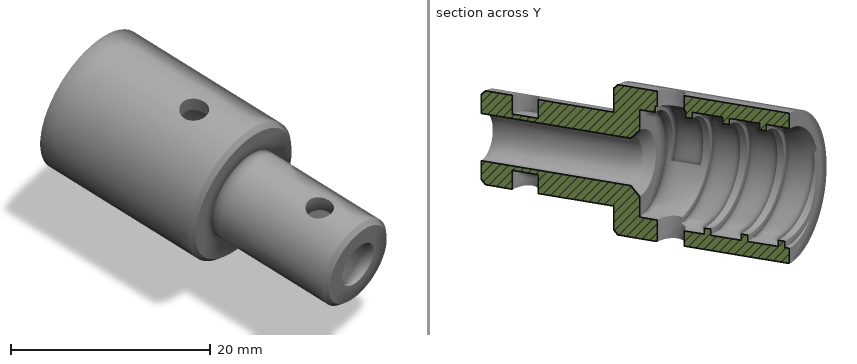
import cadquery as cq

total_length = 35.0
head_length = 20.0
head_radius = 7.998
shank_radius = 5.0
edge_chamfer = 0.5

socket_radius = 5.67
socket_depth = 17.0
through_radius = 2.5
countersink_radius = 3.5
countersink_depth = countersink_radius - through_radius

thread_pitch = 4.2
groove_floor_radius = 6.35
ridge_face_angle = 65.0
groove_start_angle = 158.0
thread_length = 16.45
groove_width = thread_pitch * (1 - ridge_face_angle / 360)
groove_overlap = 0.28

pin_hole_x = 13.5
pin_hole_diameter = 3.0
shank_hole_x = 30.0
shank_hole_diameter = 2.87
shank_hole_depth = 2.0


def cylinder_along_x(radius, start, length):
    return cq.Workplane("YZ", origin=(start, 0, 0)).circle(radius).extrude(length)


def make_body():
    head = cylinder_along_x(head_radius, 0, head_length).faces(">X").chamfer(edge_chamfer)
    shank_length = total_length - head_length
    shank = cylinder_along_x(shank_radius, head_length, shank_length).faces(">X").chamfer(edge_chamfer)
    return head.union(shank)


def make_bore():
    socket = cylinder_along_x(socket_radius, 0, socket_depth)
    passage = cylinder_along_x(through_radius, 0, total_length)
    countersink = cq.Workplane("XY").add(
        cq.Solid.makeCone(
            countersink_radius,
            through_radius,
            countersink_depth,
            pnt=cq.Vector(socket_depth, 0, 0),
            dir=cq.Vector(1, 0, 0),
        )
    )
    return socket.union(passage).union(countersink)


def make_thread_groove():
    """Rectangular groove swept along a helix, starting one pitch outside the head face."""
    inner_radius = socket_radius - groove_overlap
    helix_length = thread_length + thread_pitch - groove_width
    helix = cq.Wire.makeHelix(thread_pitch, helix_length, inner_radius)
    groove = (
        cq.Workplane("XZ")
        .moveTo(inner_radius, -groove_width)
        .lineTo(groove_floor_radius, -groove_width)
        .lineTo(groove_floor_radius, 0)
        .lineTo(inner_radius, 0)
        .close()
        .sweep(cq.Workplane("XY").add(helix), isFrenet=True)
    )
    groove = groove.rotate((0, 0, 0), (1, 1, 1), 120)
    groove = groove.rotate((0, 0, 0), (1, 0, 0), groove_start_angle)
    return groove.translate((-thread_pitch + groove_width, 0, 0))


def make_pin_hole():
    return (
        cq.Workplane("XY")
        .center(pin_hole_x, 0)
        .circle(pin_hole_diameter / 2)
        .extrude(head_radius, both=True)
    )


def make_shank_hole(side):
    """Flat-bottomed blind hole; side is +1 for the top, -1 for the bottom."""
    floor = shank_radius - shank_hole_depth
    return (
        cq.Workplane("XY", origin=(shank_hole_x, 0, side * floor))
        .circle(shank_hole_diameter / 2)
        .extrude(side * shank_hole_depth)
    )


result = make_body().cut(make_bore()).cut(make_thread_groove()).cut(make_pin_hole())
for side in (1, -1):
    result = result.cut(make_shank_hole(side))